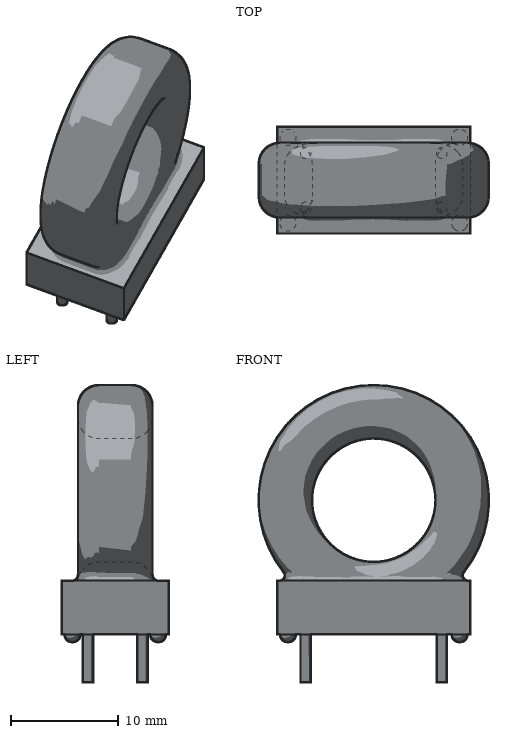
import cadquery as cq

base_length = 18.0
base_width = 10.0
base_height = 5.0
pin_length = 4.5
base_top = pin_length + base_height

total_height = 27.75
coil_outer_diameter = 21.5
coil_hole_diameter = 11.5
coil_thickness = 7.0
coil_rounding = 2.0
coil_center_z = total_height - coil_outer_diameter / 2
blend_radius = 0.5

pin_diameter = 1.0
pin_spacing_x = 12.7
pin_spacing_y = 5.08
bump_radius = 0.75
bump_spacing_x = 16.0
bump_spacing_y = 8.0


def make_base():
    return (
        cq.Workplane("XY", origin=(0, 0, pin_length))
        .rect(base_length, base_width)
        .extrude(base_height)
    )


def make_coil():
    ring = (
        cq.Workplane("XZ", origin=(0, 0, coil_center_z))
        .circle(coil_outer_diameter / 2)
        .circle(coil_hole_diameter / 2)
        .extrude(coil_thickness / 2, both=True)
    )
    return ring.edges("%CIRCLE").fillet(coil_rounding)


def blend_coil_into_base(body):
    """Fillet the seam where the coil meets the top face of the base."""
    inset = 0.15
    seam_zone = cq.selectors.BoxSelector(
        (-base_length / 2 + inset, -base_width / 2 + inset, base_top - inset),
        (base_length / 2 - inset, base_width / 2 - inset, base_top + inset),
        boundingbox=True,
    )
    return body.edges(seam_zone).fillet(blend_radius)


def make_pins():
    return (
        cq.Workplane("XY")
        .rect(pin_spacing_x, pin_spacing_y, forConstruction=True)
        .vertices()
        .circle(pin_diameter / 2)
        .extrude(base_top - base_height / 2)
    )


def make_bumps():
    return (
        cq.Workplane("XY", origin=(0, 0, pin_length))
        .rect(bump_spacing_x, bump_spacing_y, forConstruction=True)
        .vertices()
        .sphere(bump_radius)
    )


coil_on_base = make_base().union(make_coil())
result = blend_coil_into_base(coil_on_base).union(make_pins()).union(make_bumps())